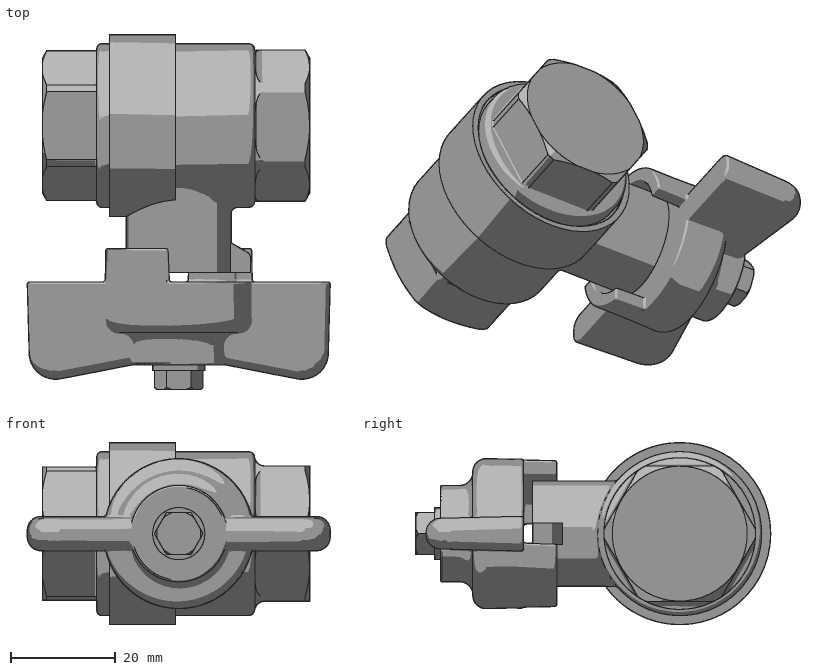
import cadquery as cq
import math


ring_radius = 17.405
ring_start = -13.2
ring_end = -0.6
body_radius = 15.7
body_end = 14.5
body_round = 1.19
collar_start = -15.7
collar_round = 1.0
groove_radius = 16.2
groove_depth = 0.7

left_hex_flats = 25.5
left_hex_turned_radius = 14.3
left_hex_end = -26.05
left_hex_root_fillet = 0.3
right_hex_flats = 25.9
right_hex_turned_radius = body_radius - body_round
right_hex_edge_round = 1.7
right_hex_root_fillet = 1.8
right_hex_end = 25.05
hex_face_radius = 12.9
hex_chamfer_angle = 30

stem_radius = 10.075
stem_end = -28.1
stem_fillet = 1.0
lug_reach = 13.7
lug_half_thickness = 2.05
lug_root_top = -22.4
lug_slope_drop = 2.2
lug_corner_round = 1.35

hub_radius = 14.4
hub_top = -29.85
hub_shoulder = -39.55
hub_shoulder_round = 2.6
hub_neck_fillet = 2.45
hub_neck_radius = 9.2
hub_end = -45.7
hub_edge_round = 0.35

skirt_top = -23.5
skirt_inner_radius = 11.3
skirt_top_radius = 14.2
skirt_gap = 1.75
skirt_draft = 2.5

wing_span = 57.95
wing_tip_draft = 0.55
wing_root = 5.4
wing_root_bottom = -45.05
wing_bottom = -49.5
wing_corner_round = 5.1
wing_top_thickness = 6.65
wing_bottom_thickness = 5.7
wing_edge_round = 2.7

handle_round = 0.5

washer_radius = 4.99
washer_end = -46.8
screw_flats = 8.1
screw_end = -50.445
screw_face_radius = 4.2
screw_chamfer_height = 0.5

margin = 0.1


def pick_box(low, high):
    """Selector for edges that lie wholly inside a box, margin included."""
    lower = [min(a, b) - margin for a, b in zip(low, high)]
    upper = [max(a, b) + margin for a, b in zip(low, high)]
    return cq.selectors.BoxSelector(lower, upper, boundingbox=True)


def cylinder_x(radius, start, end):
    """Cylinder about the pipe axis between two X positions."""
    return cq.Workplane("YZ").workplane(offset=start).circle(radius).extrude(end - start)


def hex_bar(plane, flats, start, end):
    """Hexagonal bar between two offsets along the plane's normal."""
    corner_diameter = flats / math.cos(math.pi / 6)
    return cq.Workplane(plane).workplane(offset=start).polygon(6, corner_diameter).extrude(end - start)


def turned_hex_bar(flats, turned_radius, start, end):
    """Hexagonal bar along X whose corners are turned down to a radius."""
    return hex_bar("YZ", flats, start, end).intersect(cylinder_x(turned_radius, start, end))


def end_envelope(end):
    """Solid from x = 0 to a pipe end, coned so that it chamfers the hexagon's corners."""
    cone_length = (body_radius - hex_face_radius) * math.tan(math.radians(hex_chamfer_angle))
    cone_start = end - math.copysign(cone_length, end)
    profile = [
        (0, 0),
        (0, body_radius),
        (cone_start, body_radius),
        (end, hex_face_radius),
        (end, 0),
    ]
    return cq.Workplane("XY").polyline(profile).close().revolve(360, (0, 0, 0), (1, 0, 0))


def left_pipe_end():
    bar = turned_hex_bar(left_hex_flats, left_hex_turned_radius, left_hex_end, 0)
    return bar.intersect(end_envelope(left_hex_end))


def right_pipe_end():
    """Hexagonal end that flares into the body shoulder, with the flare turned to the corner radius."""
    bar = turned_hex_bar(right_hex_flats, right_hex_turned_radius, body_end, right_hex_end)
    bar = bar.edges("|X").fillet(right_hex_edge_round)
    flange = cylinder_x(2 * body_radius, 0, body_end)
    root = pick_box((body_end, -body_radius, -body_radius), (body_end, body_radius, body_radius))
    flared = bar.union(flange).edges(root).fillet(right_hex_root_fillet)
    turned = cylinder_x(right_hex_turned_radius, 0, right_hex_end)
    return flared.intersect(turned).intersect(end_envelope(right_hex_end))


def barrel_with_left_end():
    barrel = cylinder_x(body_radius, collar_start, body_end)
    barrel = barrel.faces("<X").edges().fillet(collar_round)
    barrel = barrel.faces(">X").edges().fillet(body_round)
    reach = left_hex_turned_radius
    hex_root = pick_box((collar_start, -reach, -reach), (collar_start, reach, reach))
    return barrel.union(left_pipe_end()).edges(hex_root).fillet(left_hex_root_fillet)


def ring():
    """Raised ring, with a groove in its left face around the collar."""
    groove = cylinder_x(groove_radius, ring_start, ring_start + groove_depth)
    core = cylinder_x(body_radius, ring_start, ring_end)
    return cylinder_x(ring_radius, ring_start, ring_end).cut(groove).union(core)


def valve_body():
    stem = cq.Workplane("XZ").circle(stem_radius).extrude(-stem_end)
    stem_joint = pick_box(
        (-stem_radius, -body_radius, -stem_radius),
        (stem_radius, -body_radius / 2, stem_radius),
    )
    body = barrel_with_left_end().union(stem).edges(stem_joint).fillet(stem_fillet)
    return body.union(ring()).union(right_pipe_end())


def stop_lug():
    """Lug on the stem that bears against the end of one skirt."""
    tip_top = lug_root_top - lug_slope_drop
    lug = (
        cq.Workplane("XY")
        .workplane(offset=-lug_half_thickness)
        .moveTo(0, stem_end)
        .lineTo(lug_reach, stem_end)
        .lineTo(lug_reach, tip_top)
        .lineTo(stem_radius, lug_root_top)
        .lineTo(0, lug_root_top)
        .close()
        .extrude(2 * lug_half_thickness)
    )
    outer_corner = cq.selectors.NearestToPointSelector((lug_reach, tip_top, 0))
    return lug.edges("|Z").edges(outer_corner).fillet(lug_corner_round)


def hub_cup():
    """Turned hub with the skirt wall still running all the way round."""
    cup = (
        cq.Workplane("XY")
        .moveTo(0, hub_top)
        .lineTo(skirt_inner_radius, hub_top)
        .lineTo(skirt_inner_radius, skirt_top)
        .lineTo(skirt_top_radius, skirt_top)
        .lineTo(hub_radius, hub_shoulder)
        .lineTo(hub_neck_radius, hub_shoulder)
        .lineTo(hub_neck_radius, hub_end)
        .lineTo(0, hub_end)
        .close()
        .revolve(360, (0, 0, 0), (0, 1, 0))
    )
    cup = cup.faces("<Y").edges().fillet(hub_edge_round)
    neck = hub_neck_radius
    neck_circle = pick_box((-neck, hub_shoulder, -neck), (neck, hub_shoulder, neck))
    cup = cup.edges(neck_circle).fillet(hub_neck_fillet)
    shoulder = pick_box((-hub_radius, hub_shoulder, -hub_radius), (hub_radius, hub_shoulder, hub_radius))
    inside_shoulder = hub_radius - hub_shoulder_round
    smaller_circles = pick_box(
        (-inside_shoulder, hub_shoulder, -inside_shoulder),
        (inside_shoulder, hub_shoulder, inside_shoulder),
    )
    return cup.edges(shoulder - smaller_circles).fillet(hub_shoulder_round)


def skirt_opening():
    """Space to clear above the hub so that only the -X+Z and +X-Z skirts stay."""
    height = skirt_top - hub_top
    width = 3 * hub_radius
    base = cq.Workplane("XZ", origin=(0, hub_top, 0))
    quarter = (
        base.center(-skirt_gap - width / 2, skirt_gap + width / 2)
        .rect(width, width)
        .extrude(-height, taper=skirt_draft)
    )
    opposite_quarter = quarter.rotate((0, 0, 0), (0, 1, 0), 180)
    whole = cq.Workplane("XZ", origin=(0, hub_top, 0)).rect(2 * width, 2 * width).extrude(-height)
    return whole.cut(quarter).cut(opposite_quarter)


def wing():
    """Wing on the +X side, rooted inside the hub and thinner toward -Y."""
    tip = wing_span / 2
    bottom_tip = tip - wing_tip_draft
    plate = (
        cq.Workplane("XY")
        .workplane(offset=-wing_top_thickness)
        .moveTo(wing_root, hub_top)
        .lineTo(tip, hub_top)
        .lineTo(bottom_tip, wing_bottom)
        .lineTo(wing_root, wing_root_bottom)
        .close()
        .extrude(2 * wing_top_thickness)
    )
    bottom_corner = cq.selectors.NearestToPointSelector((bottom_tip, wing_bottom, 0))
    plate = plate.edges("|Z").edges(bottom_corner).fillet(wing_corner_round)
    half_top = wing_top_thickness / 2
    half_bottom = wing_bottom_thickness / 2
    section = [
        (hub_top, half_top),
        (wing_bottom, half_bottom),
        (wing_bottom, -half_bottom),
        (hub_top, -half_top),
    ]
    plate = plate.intersect(cq.Workplane("YZ").polyline(section).close().extrude(tip))
    tip_edges = cq.selectors.BoxSelector(
        (bottom_tip - margin, wing_bottom + wing_corner_round, -half_top),
        (tip + margin, hub_top - margin, half_top),
    )
    return plate.edges(tip_edges).fillet(wing_edge_round)


def handle_casting():
    """Hub and wings, with the wing joints, the rim and the skirts rounded alike."""
    right_wing = wing()
    left_wing = right_wing.mirror("YZ")
    casting = hub_cup().cut(skirt_opening()).union(right_wing).union(left_wing)

    rounded = pick_box((-wing_span, hub_top, -wing_span), (wing_span, skirt_top, wing_span))
    inner_x = hub_neck_radius - 2 * handle_round
    outer_x = hub_radius - 2 * margin
    for x_side in (-1, 1):
        for z_side in (-1, 1):
            rounded = rounded + pick_box(
                (x_side * inner_x, hub_end + 2 * margin, z_side * 3 * margin),
                (x_side * outer_x, hub_top, z_side * wing_top_thickness / 2),
            )
    return casting.edges(rounded).fillet(handle_round)


def screw():
    washer = cq.Workplane("XZ", origin=(0, hub_end, 0)).circle(washer_radius).extrude(hub_end - washer_end)
    head = hex_bar("XZ", screw_flats, -hub_end, -screw_end)
    turned = (
        cq.Workplane("XZ", origin=(0, hub_end, 0))
        .circle(screw_face_radius + screw_chamfer_height)
        .extrude(hub_end - screw_end)
        .faces("<Y")
        .chamfer(screw_chamfer_height)
    )
    return head.intersect(turned).union(washer)


handle = handle_casting().union(screw())
result = valve_body().union(stop_lug()).union(handle)